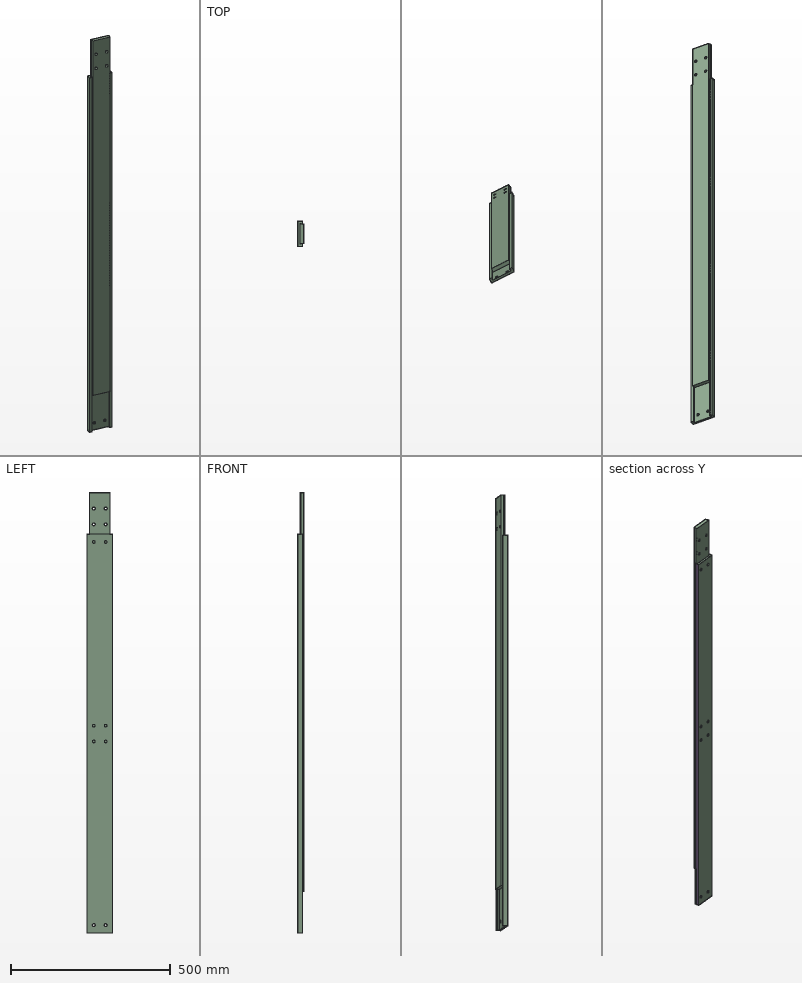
import cadquery as cq

total_length = 1380.0
extension = 130.0
bar_length = total_length - extension

rail_width = 80.0
rail_thickness = 15.0
total_thickness = 20.0
slide_width = 65.0
slide_back = 7.0
slide_step = 11.0
slide_face_width = 61.0

hole_diameter = 8.0
hole_spacing_y = 37.0
hole_spacing_z = 50.0
rail_end_margin = 25.0
slide_end_margin = 50.0

rail_hole_heights = [
    rail_end_margin,
    (bar_length - hole_spacing_z) / 2,
    (bar_length + hole_spacing_z) / 2,
    bar_length - rail_end_margin,
]
slide_hole_heights = [
    total_length - slide_end_margin - hole_spacing_z,
    total_length - slide_end_margin,
]


def make_stepped_bar(bottom, length):
    """Upright bar with the slide's cross-section: a wide base and a narrower face."""
    base_thickness = slide_step - slide_back
    face_thickness = total_thickness - slide_step
    base = (
        cq.Workplane("XY", origin=(slide_back, 0, bottom))
        .box(base_thickness, slide_width, length, centered=(False, True, False))
    )
    face = (
        cq.Workplane("XY", origin=(slide_step, 0, bottom))
        .box(face_thickness, slide_face_width, length, centered=(False, True, False))
    )
    return base.union(face)


def make_hole_cutters(heights):
    """Cylinders along X, two per row, long enough to cut through either body."""
    points = [(y, z) for z in heights for y in (-hole_spacing_y / 2, hole_spacing_y / 2)]
    return cq.Workplane("YZ").pushPoints(points).circle(hole_diameter / 2).extrude(total_thickness)


def make_rail():
    """Channel with retaining lips along its open +X side and screw holes through its floor."""
    blank = cq.Workplane("XY").box(
        rail_thickness, rail_width, bar_length, centered=(False, True, False)
    )
    channel = make_stepped_bar(0, bar_length)
    return blank.cut(channel).cut(make_hole_cutters(rail_hole_heights))


def make_slide():
    """Bar that fits the channel and stands out of its top end."""
    return make_stepped_bar(extension, bar_length).cut(make_hole_cutters(slide_hole_heights))


rail = make_rail()
slide = make_slide()

result = cq.Compound.makeCompound([rail.val(), slide.val()])